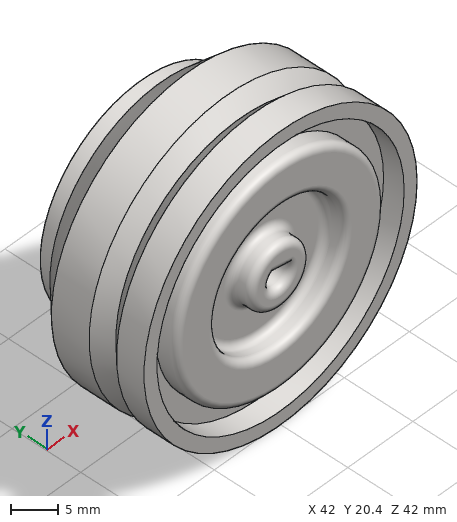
import cadquery as cq
import math

wheel_diameter = 42.0
wheel_length = 20.4
rear_hub_diameter = 30.9
rear_hub_length = 2.9
rear_chamfer = 4.0

groove_start = 4.0
groove_depth = 2.0

recess_depth = 3.0
outer_recess_diameter = 38.0
ring_diameter = 32.0
inner_recess_diameter = 20.0
boss_diameter = 9.0
edge_radius = 1.0

shaft_diameter = 3.3
shaft_flat_distance = 1.05
shaft_flat_tilt = 10.0

match_tolerance = 0.01

front_plane = cq.Workplane("XZ")


def make_body():
    """Solid wheel with the V groove, rear chamfer and rear hub."""
    radius = wheel_diameter / 2
    hub_radius = rear_hub_diameter / 2
    shoulder = wheel_length - rear_hub_length
    groove_bottom = groove_start + groove_depth
    groove_end = groove_bottom + groove_depth
    half_section = [
        (0, 0),
        (radius, 0),
        (radius, groove_start),
        (radius - groove_depth, groove_bottom),
        (radius, groove_end),
        (radius, shoulder - rear_chamfer),
        (radius - rear_chamfer, shoulder),
        (hub_radius, shoulder),
        (hub_radius, wheel_length),
        (0, wheel_length),
    ]
    return cq.Workplane("XY").polyline(half_section).close().revolve(360, (0, 0, 0), (0, 1, 0))


def make_annular_recess(outer_diameter, inner_diameter):
    """Ring-shaped volume running from the open face to the recess floor."""
    return front_plane.circle(outer_diameter / 2).circle(inner_diameter / 2).extrude(-recess_depth)


def make_shaft_hole():
    """D-shaped volume over the full wheel length, flat turned about the axis."""
    radius = shaft_diameter / 2
    half_flat = math.sqrt(radius**2 - shaft_flat_distance**2)
    return (
        front_plane.moveTo(-half_flat, shaft_flat_distance)
        .lineTo(half_flat, shaft_flat_distance)
        .threePointArc((0, -radius), (-half_flat, shaft_flat_distance))
        .close()
        .extrude(-wheel_length)
        .rotate((0, 0, 0), (0, 1, 0), shaft_flat_tilt)
    )


def circle_edges(part, diameter, depth):
    """Circular edges of one diameter at one depth behind the open face."""
    def matches(edge):
        same_size = edge.geomType() == "CIRCLE" and abs(edge.radius() - diameter / 2) < match_tolerance
        return same_size and abs(edge.Center().y - depth) < match_tolerance

    return part.edges().filter(matches)


def mouth_edges(part):
    """Arc and flat edge of the shaft hole in the open face."""

    def fits_hole(edge):
        return edge.BoundingBox().xlen < shaft_diameter + match_tolerance

    return part.faces("<Y").edges().filter(fits_hole)


def round_edges(part):
    """Round the face edges of ring, boss and hole, and the corners of the inner recess."""
    rounded_circles = [
        (ring_diameter, 0),
        (inner_recess_diameter, 0),
        (inner_recess_diameter, recess_depth),
        (boss_diameter, 0),
        (boss_diameter, recess_depth),
    ]
    for diameter, depth in rounded_circles:
        part = circle_edges(part, diameter, depth).fillet(edge_radius)
    return mouth_edges(part).fillet(edge_radius)


body = make_body()
body = body.cut(make_annular_recess(outer_recess_diameter, ring_diameter))
body = body.cut(make_annular_recess(inner_recess_diameter, boss_diameter))
body = body.cut(make_shaft_hole())
result = round_edges(body)